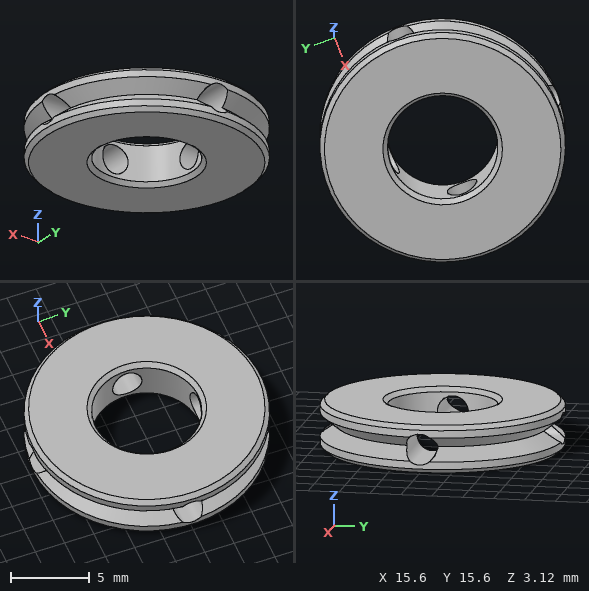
import cadquery as cq

outer_diameter = 15.62
bore_diameter = 7.0
thickness = 3.12
edge_chamfer = 0.3

groove_width = 1.56
groove_depth = 1.0

radial_hole_diameter = 2.0
radial_hole_angles = (0, 90, 180, 270)

outer_radius = outer_diameter / 2
bore_radius = bore_diameter / 2
half_thickness = thickness / 2

seam_angle = 45


def make_ring():
    """Chamfered ring with a V-groove in its rim, centred on the origin."""
    half_groove = groove_width / 2
    chamfer_start = half_thickness - edge_chamfer
    section = [
        (bore_radius, -chamfer_start),
        (bore_radius + edge_chamfer, -half_thickness),
        (outer_radius - edge_chamfer, -half_thickness),
        (outer_radius, -chamfer_start),
        (outer_radius, -half_groove),
        (outer_radius - groove_depth, 0),
        (outer_radius, half_groove),
        (outer_radius, chamfer_start),
        (outer_radius - edge_chamfer, half_thickness),
        (bore_radius + edge_chamfer, half_thickness),
        (bore_radius, chamfer_start),
    ]
    ring = cq.Workplane("XZ").polyline(section).close().revolve(360, (0, 0, 0), (0, 1, 0))
    return ring.rotate((0, 0, 0), (0, 0, 1), seam_angle)


def make_radial_hole(angle):
    """Cylinder from inside the bore out past the rim, at an angle from +X."""
    start_radius = bore_radius / 2
    hole = (
        cq.Workplane("YZ", origin=(start_radius, 0, 0))
        .circle(radial_hole_diameter / 2)
        .extrude(outer_radius)
    )
    hole = hole.rotate((0, 0, 0), (1, 0, 0), seam_angle)
    return hole.rotate((0, 0, 0), (0, 0, 1), angle)


result = make_ring()
for angle in radial_hole_angles:
    result = result.cut(make_radial_hole(angle))